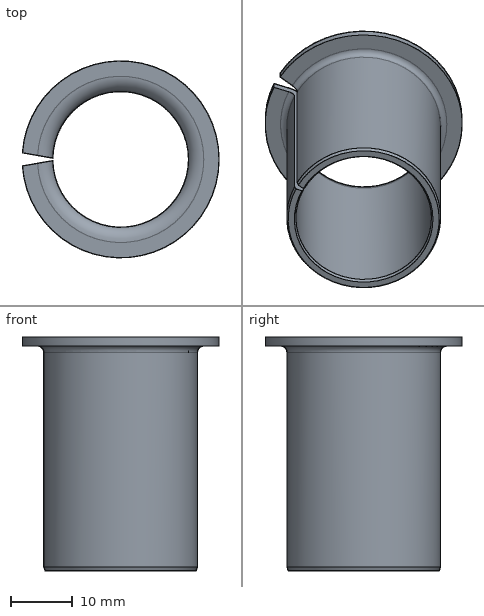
import cadquery as cq
import math

bore_radius = 11.0
wall = 1.5
flange_radius = 16.0
length = 38.0
outer_bend_radius = 1.0
lead_in_height = 0.65
lead_in_depth = 0.24
bore_lead_in_height = 0.5
bore_lead_in_depth = 0.25
slit_inner_width = 0.37
slit_half_angle = 9.9

sleeve_radius = bore_radius + wall
inner_bend_radius = outer_bend_radius + wall
bend_center_radius = sleeve_radius + outer_bend_radius
flange_bottom = length - wall
bend_center_z = flange_bottom - outer_bend_radius


def bend_point(radius):
    """Middle of the quarter-circle bend of the given radius."""
    mid_angle = 45
    offset = radius * math.cos(math.radians(mid_angle))
    return (bend_center_radius - offset, bend_center_z + offset)


def flanged_sleeve():
    """Closed bushing: the bent wall section revolved about Z."""
    section = (
        cq.Workplane("XZ")
        .moveTo(bore_radius + bore_lead_in_depth, 0)
        .lineTo(sleeve_radius - lead_in_depth, 0)
        .lineTo(sleeve_radius, lead_in_height)
        .lineTo(sleeve_radius, bend_center_z)
        .threePointArc(bend_point(outer_bend_radius), (bend_center_radius, flange_bottom))
        .lineTo(flange_radius, flange_bottom)
        .lineTo(flange_radius, length)
        .lineTo(bend_center_radius, length)
        .threePointArc(bend_point(inner_bend_radius), (bore_radius, bend_center_z))
        .lineTo(bore_radius, bore_lead_in_height)
        .close()
    )
    return section.revolve(360, (0, 0, 0), (0, 1, 0)).rotate((0, 0, 0), (0, 0, 1), 180)


def slit_cutter():
    """Tapered prism on the -X side that opens the ring over its full height."""
    end_radius = flange_radius + wall
    inner_half = slit_inner_width / 2
    slope = math.tan(math.radians(slit_half_angle))
    apex_radius = bore_radius - inner_half / slope
    end_half = (end_radius - apex_radius) * slope
    return (
        cq.Workplane("XY")
        .moveTo(-apex_radius, 0)
        .lineTo(-end_radius, end_half)
        .lineTo(-end_radius, -end_half)
        .close()
        .extrude(length)
    )


result = flanged_sleeve().cut(slit_cutter())